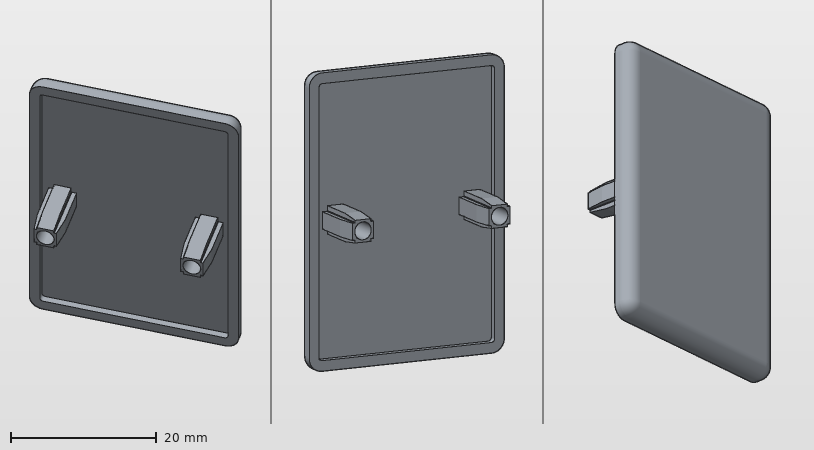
import cadquery as cq

plate_width = 30.0
plate_height = 42.0
plate_thickness = 3.0
edge_radius = 1.97
corner_radius = 1.97

rim_width = 1.5
recess_depth = 1.0
recess_corner_radius = 0.5

overall_depth = 10.5
post_spacing = 21.0
post_span = 4.0
post_tip_span = 3.2
arm_width = 2.45
core_width = 2.6
taper_length = 3.0
bore_diameter = 2.5

rim_y = 0.0
floor_y = rim_y + recess_depth
tip_y = rim_y + plate_thickness - overall_depth
post_length = floor_y - tip_y


def plane_at(y):
    """XZ sketch plane at the given Y whose extrusions run toward -Y."""
    return cq.Workplane("XZ", origin=(0, y, 0))


def make_plate():
    plate = (
        plane_at(rim_y + plate_thickness)
        .rect(plate_width, plate_height)
        .extrude(plate_thickness)
        .edges("|Y")
        .fillet(corner_radius)
        .faces(">Y")
        .edges()
        .fillet(edge_radius)
    )
    recess = (
        plane_at(floor_y)
        .rect(plate_width - 2 * rim_width, plate_height - 2 * rim_width)
        .extrude(recess_depth)
        .edges("|Y")
        .fillet(recess_corner_radius)
    )
    return plate.cut(recess)


def make_arm_pair():
    """Bar across the post along X, tapered at both ends near the tip."""
    half_span = post_span / 2
    half_tip = post_tip_span / 2
    taper_y = tip_y + taper_length
    return (
        cq.Workplane("XY")
        .polyline([
            (-half_span, floor_y),
            (-half_span, taper_y),
            (-half_tip, tip_y),
            (half_tip, tip_y),
            (half_span, taper_y),
            (half_span, floor_y),
        ])
        .close()
        .extrude(arm_width / 2, both=True)
    )


def make_post():
    arms = make_arm_pair()
    crossing_arms = arms.rotate((0, 0, 0), (0, 1, 0), 90)
    core = (
        plane_at(floor_y)
        .rect(core_width, core_width)
        .extrude(post_length)
        .edges("|Y")
        .chamfer((core_width - arm_width) / 2)
    )
    bore = plane_at(floor_y).circle(bore_diameter / 2).extrude(post_length)
    return arms.union(crossing_arms).union(core).cut(bore)


result = make_plate()
for side in (-1, 1):
    result = result.union(make_post().translate((side * post_spacing / 2, 0, 0)))